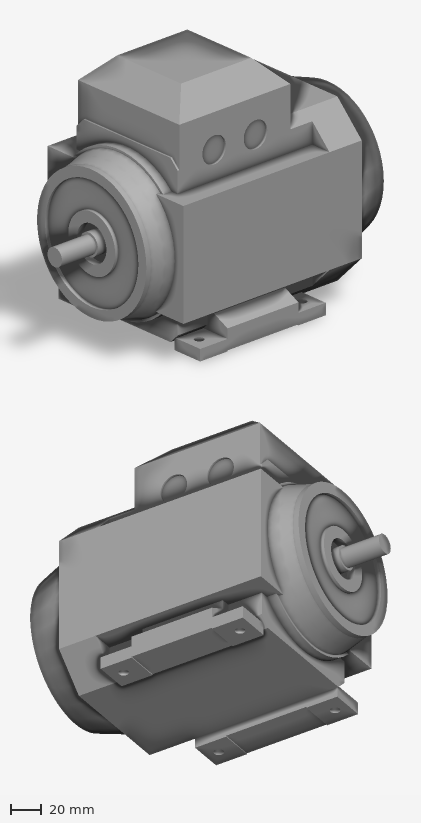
import cadquery as cq


shaft_radius = 7.0
shaft_length = 30.0
shoulder_radius = 8.6

rim_front = 2.5
rim_back = 7.0
rim_radius = 52.5
shield_cone_back = 26.0
shield_cone_radius = 57.7
spigot_radius = 59.6
face_recess_radius = 44.8
face_recess_depth = 2.9
hub_radius = 22.5
bore_radius = 14.1
bore_depth = 6.0

housing_half = 65.1
housing_flat_half = 41.7
housing_front = 33.3
housing_back = 179.5
band_front = 23.2
corner_notch_back = 151.1

overall_length = 239.5
cowl_back = overall_length - shaft_length
cowl_front_radius = 64.0
cowl_back_radius = 53.2

box_size = 97.2
box_center_y = 83.3
box_top = 108.3
lid_bevel = 18.0
knockout_radius = 10.3
knockout_spacing = 36.2
knockout_z = 63.5
knockout_depth = 2.0

foot_outer_x = 68.0
foot_inner_x = 43.3
foot_bottom = -71.0
foot_thickness = 8.9
foot_length = 110.0
foot_center_y = 90.3
web_length = 62.0
web_bottom_relief = 0.7
web_outer_height = 16.3
web_neck_x = 55.0
web_neck_z = -48.4
bolt_hole_diameter = 7.0
bolt_spacing_x = 112.0
bolt_spacing_y = 90.0


def block(x_range, y_range, z_range):
    """Box between the given (low, high) limits on each axis."""
    limits = (x_range, y_range, z_range)
    sizes = [high - low for low, high in limits]
    center = tuple((low + high) / 2 for low, high in limits)
    return cq.Workplane("XY").box(*sizes).translate(center)


def along_y(outline, y_start, y_end):
    """Extrude a closed (x, z) outline from y_start to y_end."""
    plane = cq.Workplane("XZ", origin=(0, y_start, 0))
    return plane.polyline(outline).close().extrude(y_start - y_end)


def turned(outline):
    """Revolve a closed (radius, y) outline about the shaft axis."""
    return cq.Workplane("XY").polyline(outline).close().revolve(360, (0, 0, 0), (0, 1, 0))


def mirrored_pair(solid):
    """The solid together with its mirror image across the YZ plane."""
    return solid.union(solid.mirror("YZ"))


def make_housing():
    beyond_housing = 2 * housing_half
    corner_cut = housing_half - housing_flat_half
    bar = (
        block(
            (-housing_half, housing_half),
            (housing_front, housing_back),
            (-housing_half, housing_half),
        )
        .edges("|Y")
        .chamfer(corner_cut)
    )
    notch_x = (box_size / 2, beyond_housing)
    notch_y = (housing_front, corner_notch_back)
    upper_notch = block(notch_x, notch_y, (housing_flat_half, beyond_housing))
    notches = mirrored_pair(upper_notch.union(upper_notch.mirror("XY")))
    band = block(
        (-housing_half, housing_half),
        (band_front, housing_back),
        (-housing_flat_half, housing_flat_half),
    )
    return bar.cut(notches).union(band)


def make_cowl():
    return turned([
        (0, housing_back),
        (cowl_front_radius, housing_back),
        (cowl_back_radius, cowl_back),
        (0, cowl_back),
    ])


def make_shield_and_shaft():
    recess_floor = rim_front + face_recess_depth
    bore_floor = rim_front + bore_depth
    return turned([
        (0, -shaft_length),
        (shaft_radius, -shaft_length),
        (shaft_radius, 0),
        (shoulder_radius, 0),
        (shoulder_radius, bore_floor),
        (bore_radius, bore_floor),
        (bore_radius, rim_front),
        (hub_radius, rim_front),
        (hub_radius, recess_floor),
        (face_recess_radius, recess_floor),
        (face_recess_radius, rim_front),
        (rim_radius, rim_front),
        (rim_radius, rim_back),
        (shield_cone_radius, shield_cone_back),
        (spigot_radius, shield_cone_back),
        (spigot_radius, housing_front),
        (0, housing_front),
    ])


def make_terminal_box():
    half = box_size / 2
    return block(
        (-half, half),
        (box_center_y - half, box_center_y + half),
        (0, box_top),
    ).faces(">Z").chamfer(lid_bevel)


def make_knockouts():
    """Two shallow round cable knockouts, to be cut from each side wall of the terminal box."""
    floor_x = box_size / 2 - knockout_depth
    knockouts = (
        cq.Workplane("YZ", origin=(floor_x, box_center_y, knockout_z))
        .rarray(knockout_spacing, 2.5, 2, 1)
        .circle(knockout_radius)
        .extrude(knockout_depth)
    )
    return mirrored_pair(knockouts)


def make_feet():
    foot_top = foot_bottom + foot_thickness
    pad = block(
        (foot_inner_x, foot_outer_x),
        (foot_center_y - foot_length / 2, foot_center_y + foot_length / 2),
        (foot_bottom, foot_top),
    )
    web_front = foot_center_y - web_length / 2
    web_back = foot_center_y + web_length / 2
    relief_top = foot_bottom + web_bottom_relief
    relief = block((foot_inner_x, foot_outer_x), (web_front, web_back), (foot_bottom, relief_top))
    web = along_y(
        [
            (foot_inner_x, relief_top),
            (foot_outer_x, relief_top),
            (foot_outer_x, foot_bottom + web_outer_height),
            (web_neck_x, web_neck_z),
            (web_neck_x, -housing_flat_half),
            (foot_inner_x, -housing_flat_half),
        ],
        web_front,
        web_back,
    )
    bolt_holes = (
        cq.Workplane("XY", origin=(bolt_spacing_x / 2, foot_center_y, foot_bottom))
        .rarray(2.5, bolt_spacing_y, 1, 2)
        .circle(bolt_hole_diameter / 2)
        .extrude(foot_thickness)
    )
    return mirrored_pair(pad.cut(relief).union(web).cut(bolt_holes))


result = (
    make_housing()
    .union(make_cowl())
    .union(make_shield_and_shaft())
    .union(make_terminal_box())
    .union(make_feet())
    .cut(make_knockouts())
)